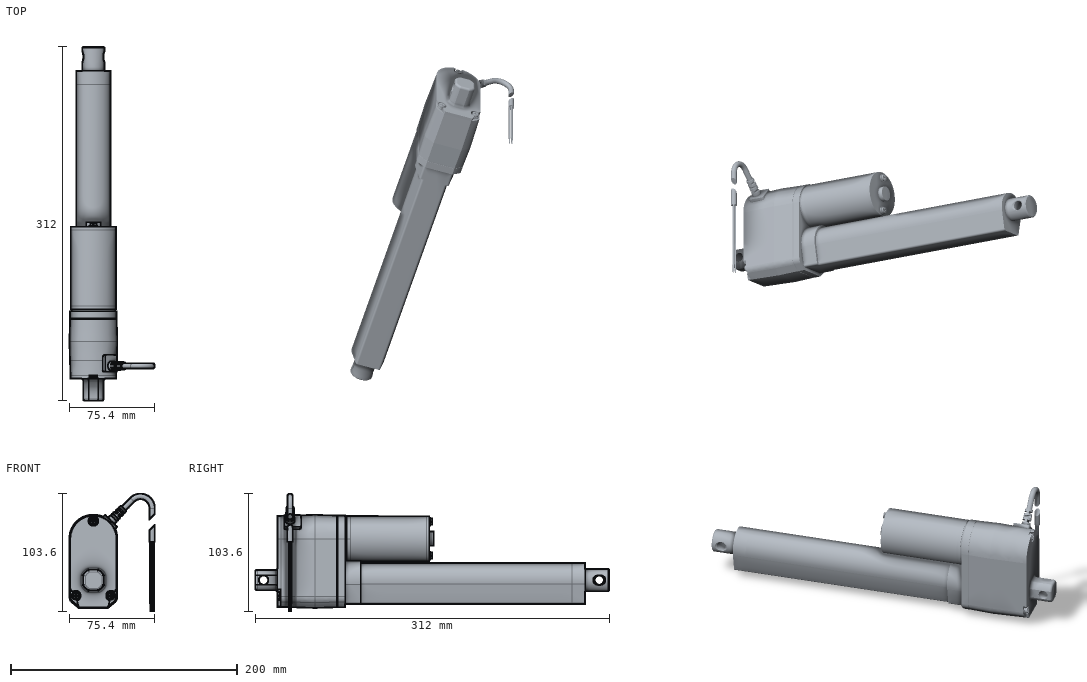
import cadquery as cq
import math


CLEVIS_WIDTH = 18.0
CLEVIS_ROUND_DIA = 20.0
CLEVIS_FILLET = 2.0
ROOT_SEARCH_MARGIN = 0.3
PIN_HOLE_DIA = 8.0
CLEVIS_HOLE_INSET = 7.5

REAR_FACE_Y = 19.5
REAR_STRIP_Y = 22.5
COVER_SEAM_Y = 36.0
PARTING_Y = 52.7
GROOVE_START_Y = 72.0
GROOVE_END_Y = 73.0
FRONT_FACE_Y = 79.2
GEARBOX_HALF_WIDTH = 21.2
GEARBOX_CORNER_RADIUS = 7.0
GEARBOX_CORNER_Z = -14.5
GEARBOX_BEVEL_ANGLE = math.radians(40)
GEARBOX_BOTTOM_Z = -24.5
REAR_DRAFT = 1.0
FRONT_DRAFT = 0.5
GROOVE_DEPTH = 0.3

POCKET_DIA = 8.7
TOP_SCREW_Z = 52.0
LOW_SCREW_X = 15.5
LOW_SCREW_Z = -13.7
TOP_MOUTH = [(-7.5, 9.5), (7.5, 9.5)]
LOW_MOUTH = [(7.5, 9.5), (12.5, -14.0), (-3.7, -14.0)]
WASHER_DIA = 7.0
WASHER_HEIGHT = 1.0
HEAD_DIA = 5.5
HEAD_HEIGHT = 2.0
SCREW_SLOT_LENGTH = 3.7
SCREW_SLOT_WIDTH = 1.0
SCREW_SLOT_DEPTH = 1.0

MOTOR_Z = 36.5
MOTOR_DIA = 40.0
MOTOR_NECK_DIA = 39.0
MOTOR_NECK_END_Y = 80.8
MOTOR_SEAM_YS = [84.0, 150.7]
MOTOR_END_Y = 153.5
MOTOR_BOSS_DIA = 12.8
MOTOR_BOSS_HEIGHT = 4.0
MOTOR_SCREW_OFFSET = 15.0

TUBE_RADIUS = 15.3
SLEEVE_RADIUS = 17.5
TUBE_TANGENT_ANGLE = math.radians(12.5)
TUBE_BOTTOM_Z = -21.2
TUBE_CORNER_FILLET = 2.0
SLEEVE_END_Y = 93.3
TUBE_SEAM_Y = 279.0
TUBE_END_Y = 290.8

ROD_DIA = 20.0
ROD_END_Y = 312.0
ROD_CHAMFER = 1.0
ROD_HOLE_INSET = 8.7
ROD_SINK_DIA = 11.0

CABLE_Y = 31.0
CABLE_DIA = 5.0
CABLE_X = GEARBOX_HALF_WIDTH + 30.5
CABLE_BEND_RADIUS = 10.3
BEND_ANGLE = 135
CABLE_END_Z = 56.0
PAD_SIZE = 15.0
PAD_CENTER_Y = 33.0
PAD_CORNER_RADIUS = 1.5
PAD_INNER = 17.5
PAD_OUTER = 22.0
RELIEF_BASE_DIA = 8.0
RELIEF_TIP_DIA = 7.0
RELIEF_TIP = 37.8
RELIEF_WEB = 2.2
RELIEF_SLOTS = [(25.5, 27.8), (30.0, 31.8), (33.7, 35.5)]

TAIL_TOP_Z = 46.2
TAIL_SHEATH_BOTTOM_Z = 33.7
TAIL_BOTTOM_Z = -27.5
STRIPPED_LENGTH = 7.0
INSULATION_DIA = 1.3
CORE_DIA = 0.8
WIRE_OFFSETS = [(-1.2, 0.78), (0.0, -0.78), (1.2, 0.78)]


def section_at(y):
    """Workplane across the actuator at the given Y, with local x = X and local y = Z."""
    return cq.Workplane("XZ", origin=(0, y, 0))


def cylinder_along_y(x, z, diameter, start_y, end_y):
    return section_at(start_y).center(x, z).circle(diameter / 2).extrude(start_y - end_y)


def join(parts):
    """Fuse the parts of one body, keeping the seams between them."""
    body = parts[0]
    for part in parts[1:]:
        body = body.union(part, clean=False)
    return body


def cross_hole(y):
    """Pin hole along X through the rod axis."""
    return cq.Workplane("YZ", origin=(0, y, 0)).circle(PIN_HOLE_DIA / 2).extrude(CLEVIS_ROUND_DIA, both=True)


def gearbox_wire(y, inset):
    """Gearbox outline at Y: half-round top, straight sides, and bevels that round into the sides."""
    half_width = GEARBOX_HALF_WIDTH - inset
    radius = GEARBOX_CORNER_RADIUS - inset
    bottom_z = GEARBOX_BOTTOM_Z + inset
    turn = math.pi / 2 - GEARBOX_BEVEL_ANGLE

    def corner_point(angle):
        x = half_width - radius + radius * math.cos(angle)
        return x, GEARBOX_CORNER_Z - radius * math.sin(angle)

    mid_x, mid_z = corner_point(turn / 2)
    bevel_x, bevel_z = corner_point(turn)
    foot_x = bevel_x - (bevel_z - bottom_z) / math.tan(GEARBOX_BEVEL_ANGLE)
    outline = (
        section_at(y)
        .moveTo(half_width, GEARBOX_CORNER_Z)
        .lineTo(half_width, MOTOR_Z)
        .threePointArc((0, MOTOR_Z + half_width), (-half_width, MOTOR_Z))
        .lineTo(-half_width, GEARBOX_CORNER_Z)
        .threePointArc((-mid_x, mid_z), (-bevel_x, bevel_z))
        .lineTo(-foot_x, bottom_z)
        .lineTo(foot_x, bottom_z)
        .lineTo(bevel_x, bevel_z)
        .threePointArc((mid_x, mid_z), (half_width, GEARBOX_CORNER_Z))
        .close()
    )
    return outline.val()


def gearbox():
    """Stack of slices drafted away from the parting plane, with a shallow groove near the front."""
    cover_fraction = (PARTING_Y - COVER_SEAM_Y) / (PARTING_Y - REAR_STRIP_Y)
    cover_inset = REAR_DRAFT * cover_fraction
    groove_inset = FRONT_DRAFT + GROOVE_DEPTH
    slices = [
        (REAR_FACE_Y, REAR_DRAFT, REAR_STRIP_Y, REAR_DRAFT),
        (REAR_STRIP_Y, REAR_DRAFT, COVER_SEAM_Y, cover_inset),
        (COVER_SEAM_Y, cover_inset, PARTING_Y, 0),
        (PARTING_Y, 0, GROOVE_START_Y, FRONT_DRAFT),
        (GROOVE_START_Y, groove_inset, GROOVE_END_Y, groove_inset),
        (GROOVE_END_Y, FRONT_DRAFT, FRONT_FACE_Y, FRONT_DRAFT),
    ]
    solids = []
    for start_y, start_inset, end_y, end_inset in slices:
        wires = [gearbox_wire(start_y, start_inset), gearbox_wire(end_y, end_inset)]
        solids.append(cq.Workplane(cq.Solid.makeLoft(wires, True)))
    return join(solids)


def screw_pocket(x, z, mouth):
    """Round pocket in the rear face with a mouth widening out through the wall."""
    depth = REAR_STRIP_Y - REAR_FACE_Y
    well = cylinder_along_y(x, z, POCKET_DIA, REAR_FACE_Y, REAR_STRIP_Y)
    opening = section_at(REAR_FACE_Y).center(x, z).polyline([(0, 0)] + mouth).close().extrude(-depth)
    return well.union(opening)


def screw(x, z, seat_y, direction):
    """Cross-slotted screw head on its washer, standing on the seat; direction is its sign along Y."""
    washer_top = seat_y + direction * WASHER_HEIGHT
    head_top = washer_top + direction * HEAD_HEIGHT
    slot_floor = head_top - direction * SCREW_SLOT_DEPTH
    washer = cylinder_along_y(x, z, WASHER_DIA, seat_y, washer_top)
    head = cylinder_along_y(x, z, HEAD_DIA, washer_top, head_top)
    slots = section_at(slot_floor).center(x, z)
    across = slots.rect(SCREW_SLOT_LENGTH, SCREW_SLOT_WIDTH).extrude(slot_floor - head_top)
    upright = slots.rect(SCREW_SLOT_WIDTH, SCREW_SLOT_LENGTH).extrude(slot_floor - head_top)
    return washer.union(head).cut(across).cut(upright)


def rear_clevis():
    """Square block with rounded corners, a filleted tip and a pin hole."""
    block = section_at(0).rect(CLEVIS_WIDTH, CLEVIS_WIDTH).extrude(-REAR_FACE_Y)
    block = block.intersect(cylinder_along_y(0, 0, CLEVIS_ROUND_DIA, 0, REAR_FACE_Y))
    return block.faces("<Y").edges().fillet(CLEVIS_FILLET).cut(cross_hole(CLEVIS_HOLE_INSET))


def flare_clevis_root(body):
    """Fillet the corner where the clevis rises from the rear face."""
    reach = CLEVIS_WIDTH / 2 + ROOT_SEARCH_MARGIN
    root = cq.selectors.BoxSelector(
        (-reach, REAR_FACE_Y - ROOT_SEARCH_MARGIN, -reach),
        (reach, REAR_FACE_Y + ROOT_SEARCH_MARGIN, reach),
        boundingbox=True,
    )
    return cq.Workplane(body.solids().val().fillet(CLEVIS_FILLET, body.edges(root).vals()))


def tube_section(radius, start_y, end_y):
    """Length of tube: round top, tangent walls leaning inward, and a flat base with rounded corners."""
    wall_x = radius * math.cos(TUBE_TANGENT_ANGLE)
    wall_z = -radius * math.sin(TUBE_TANGENT_ANGLE)
    base_x = wall_x - (wall_z - TUBE_BOTTOM_Z) * math.tan(TUBE_TANGENT_ANGLE)
    section = (
        section_at(start_y)
        .moveTo(-base_x, TUBE_BOTTOM_Z)
        .lineTo(-wall_x, wall_z)
        .threePointArc((0, radius), (wall_x, wall_z))
        .lineTo(base_x, TUBE_BOTTOM_Z)
        .close()
        .extrude(start_y - end_y)
    )
    return section.faces("<Z").edges("|Y").fillet(TUBE_CORNER_FILLET)


def tube():
    sleeve = tube_section(SLEEVE_RADIUS, FRONT_FACE_Y, SLEEVE_END_Y)
    barrel = tube_section(TUBE_RADIUS, SLEEVE_END_Y, TUBE_SEAM_Y)
    end_cap = tube_section(TUBE_RADIUS, TUBE_SEAM_Y, TUBE_END_Y)
    return join([sleeve, barrel, end_cap])


def motor():
    """Motor can with a narrow neck, two seams, a bearing boss and two end screws."""
    parts = [cylinder_along_y(0, MOTOR_Z, MOTOR_NECK_DIA, FRONT_FACE_Y, MOTOR_NECK_END_Y)]
    stations = [MOTOR_NECK_END_Y] + MOTOR_SEAM_YS + [MOTOR_END_Y]
    for start_y, end_y in zip(stations, stations[1:]):
        parts.append(cylinder_along_y(0, MOTOR_Z, MOTOR_DIA, start_y, end_y))
    boss_end_y = MOTOR_END_Y + MOTOR_BOSS_HEIGHT
    parts.append(cylinder_along_y(0, MOTOR_Z, MOTOR_BOSS_DIA, MOTOR_END_Y, boss_end_y))
    for side in (-1, 1):
        parts.append(screw(0, MOTOR_Z + side * MOTOR_SCREW_OFFSET, MOTOR_END_Y, 1))
    return join(parts)


def cable_plane(distance, y=CABLE_Y):
    """Workplane facing out at 45 degrees, with local x = Y."""
    offset = distance * math.sqrt(0.5)
    return cq.Workplane(cq.Plane((offset, y, MOTOR_Z + offset), (0, 1, 0), (1, 0, 1)))


def cable_pad():
    """Rounded square foot of the strain relief, set into the gearbox wall."""
    block = cable_plane(PAD_INNER, PAD_CENTER_Y).rect(PAD_SIZE, PAD_SIZE).extrude(PAD_OUTER - PAD_INNER)
    edges = cq.selectors.ParallelDirSelector(cq.Vector(1, 0, 1))
    return block.edges(edges).fillet(PAD_CORNER_RADIUS)


def build_housing():
    """Gearbox, tube, motor and rear clevis in one, with screw pockets and a seat for the cable pad."""
    body = join([gearbox(), tube(), motor()])
    screws = []
    for side in (-1, 1):
        mouth = [(side * x, z) for x, z in LOW_MOUTH]
        body = body.cut(screw_pocket(side * LOW_SCREW_X, LOW_SCREW_Z, mouth), clean=False)
        screws.append(screw(side * LOW_SCREW_X, LOW_SCREW_Z, REAR_STRIP_Y, -1))
    body = body.cut(screw_pocket(0, TOP_SCREW_Z, TOP_MOUTH), clean=False)
    screws.append(screw(0, TOP_SCREW_Z, REAR_STRIP_Y, -1))
    body = body.cut(cable_pad(), clean=False)
    body = body.union(rear_clevis(), clean=False)
    return join([flare_clevis_root(body)] + screws)


def build_rod():
    """Rod end standing on the tube's end face, with a cross hole countersunk on both sides."""
    body = cylinder_along_y(0, 0, ROD_DIA, TUBE_END_Y, ROD_END_Y).faces(">Y").chamfer(ROD_CHAMFER)
    hole_y = ROD_END_Y - ROD_HOLE_INSET
    body = body.cut(cross_hole(hole_y))
    sink_radius = ROD_SINK_DIA / 2
    for side in (-1, 1):
        rim = cq.Vector(side * ROD_DIA / 2, hole_y, 0)
        inward = cq.Vector(-side, 0, 0)
        body = body.cut(cq.Workplane(cq.Solid.makeCone(sink_radius, 0, sink_radius, rim, inward)))
    return body


def strain_relief():
    """Tapered sleeve with staggered slots that leave a web crossing alternate ways."""
    cone = (
        cable_plane(PAD_OUTER)
        .circle(RELIEF_BASE_DIA / 2)
        .workplane(offset=RELIEF_TIP - PAD_OUTER)
        .circle(RELIEF_TIP_DIA / 2)
        .loft()
    )
    for index, (start, end) in enumerate(RELIEF_SLOTS):
        web = (RELIEF_WEB, RELIEF_BASE_DIA) if index % 2 == 0 else (RELIEF_BASE_DIA, RELIEF_WEB)
        web_block = cable_plane(start).rect(*web).extrude(end - start)
        slots = cable_plane(start).rect(RELIEF_BASE_DIA, RELIEF_BASE_DIA).extrude(end - start).cut(web_block)
        cone = cone.cut(slots)
    return cone


def build_cable():
    """Strain relief and the cable that bends over and hangs down to a slanted cut."""
    bend_start_x = CABLE_X - CABLE_BEND_RADIUS * (1 + math.sqrt(0.5))
    bend_start = bend_start_x * math.sqrt(2)
    bend_center_z = MOTOR_Z + bend_start_x - CABLE_BEND_RADIUS * math.sqrt(0.5)

    straight = cable_plane(RELIEF_TIP).circle(CABLE_DIA / 2).extrude(bend_start - RELIEF_TIP)
    bend = (
        cq.Workplane("XY", origin=(CABLE_X, CABLE_Y, bend_center_z))
        .circle(CABLE_DIA / 2)
        .revolve(BEND_ANGLE, (-CABLE_BEND_RADIUS, 0), (-CABLE_BEND_RADIUS, -1))
    )
    hanging = slanted_sheath(CABLE_END_Z, bend_center_z)
    return join([cable_pad(), strain_relief(), straight, bend, hanging])


def slanted_sheath(cut_z, flat_z):
    """Upright length of sheath from a 45 degree cut, centred at cut_z, to a flat end at flat_z."""
    sign = math.copysign(1, flat_z - cut_z)
    radius = CABLE_DIA / 2
    cut_left_z = cut_z - radius
    cut_right_z = cut_z + radius
    side_profile = (
        cq.Workplane("XZ", origin=(CABLE_X, CABLE_Y, 0))
        .polyline([(-radius, cut_left_z), (radius, cut_right_z), (radius, flat_z), (-radius, flat_z)])
        .close()
        .extrude(radius, both=True)
    )
    start_z = cut_z - sign * radius
    barrel = cq.Workplane("XY", origin=(CABLE_X, CABLE_Y, start_z)).circle(radius).extrude(flat_z - start_z)
    return barrel.intersect(side_profile)


def build_tail():
    """Sheath with a slanted top; each wire is an insulated length around a longer bare core."""
    parts = [slanted_sheath(TAIL_TOP_Z, TAIL_SHEATH_BOTTOM_Z)]
    strip_z = TAIL_BOTTOM_Z + STRIPPED_LENGTH
    for x, y in WIRE_OFFSETS:
        wire_top = cq.Workplane("XY", origin=(CABLE_X + x, CABLE_Y + y, TAIL_SHEATH_BOTTOM_Z))
        parts.append(wire_top.circle(INSULATION_DIA / 2).extrude(strip_z - TAIL_SHEATH_BOTTOM_Z))
        parts.append(wire_top.circle(CORE_DIA / 2).extrude(TAIL_BOTTOM_Z - TAIL_SHEATH_BOTTOM_Z))
    return join(parts)


housing = build_housing()
rod = build_rod()
cable = build_cable()
tail = build_tail()

result = cq.Compound.makeCompound([housing.val(), rod.val(), cable.val(), tail.val()])